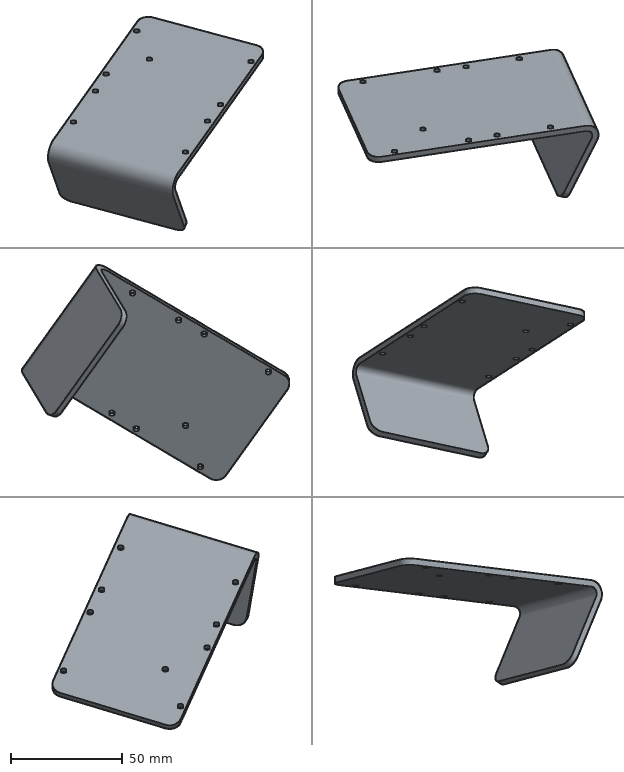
import cadquery as cq
import math

width = 61.0
depth = 106.0
height = 40.3

thickness = 3.0
outer_bend_radius = 6.0
bend_angle = 115.0
corner_radius = 5.3

hole_diameter = 2.5
rear_hole_x = 28.0
rear_hole_rows = (41.0, 6.7)
front_hole_x = 27.5
front_hole_rows = (-6.7, -31.4)
single_hole = (-14.5, 24.4)

inner_bend_radius = outer_bend_radius - thickness
bend_y = -depth / 2 + outer_bend_radius
bend_z = -outer_bend_radius
lean = math.radians(bend_angle - 90)
bend_drop = outer_bend_radius * (1 + math.sin(lean))
flange_length = (height - bend_drop) / math.cos(lean)


def bend_point(radius, angle, along=0.0):
    """(Y, Z) at a bend angle in degrees, then moved along the tangent."""
    turn = math.radians(angle)
    y = bend_y - radius * math.sin(turn) - along * math.cos(turn)
    z = bend_z + radius * math.cos(turn) - along * math.sin(turn)
    return (y, z)


def make_bent_sheet():
    return (
        cq.Workplane("YZ", origin=(-width / 2, 0, 0))
        .moveTo(depth / 2, 0)
        .lineTo(*bend_point(outer_bend_radius, 0))
        .threePointArc(
            bend_point(outer_bend_radius, bend_angle / 2),
            bend_point(outer_bend_radius, bend_angle),
        )
        .lineTo(*bend_point(outer_bend_radius, bend_angle, flange_length))
        .lineTo(*bend_point(inner_bend_radius, bend_angle, flange_length))
        .lineTo(*bend_point(inner_bend_radius, bend_angle))
        .threePointArc(
            bend_point(inner_bend_radius, bend_angle / 2),
            bend_point(inner_bend_radius, 0),
        )
        .lineTo(depth / 2, -thickness)
        .close()
        .extrude(width)
    )


def round_free_corners(sheet):
    rounded = sheet.faces(">Y").edges("|Z").fillet(corner_radius)
    flange_normal = cq.Vector(0, -math.cos(lean), -math.sin(lean))
    end_edges = cq.selectors.ParallelDirSelector(flange_normal)
    return rounded.edges(end_edges).edges("<Z").fillet(corner_radius)


def hole_positions():
    points = [single_hole]
    for x, rows in ((rear_hole_x, rear_hole_rows), (front_hole_x, front_hole_rows)):
        for y in rows:
            points += [(-x, y), (x, y)]
    return points


def make_hole_cutters():
    return (
        cq.Workplane("XY")
        .pushPoints(hole_positions())
        .circle(hole_diameter / 2)
        .extrude(-thickness)
    )


result = round_free_corners(make_bent_sheet()).cut(make_hole_cutters())